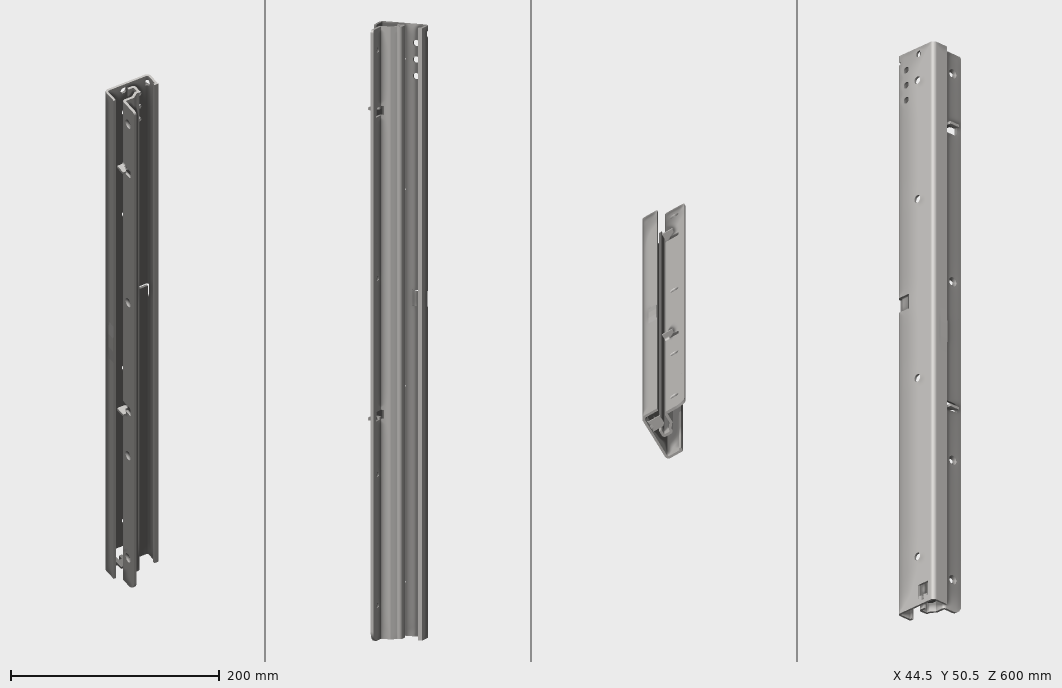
import cadquery as cq

LENGTH = 600.0
SHEET = 2.5
RAIL_SHEET = 2.7

CHANNEL_HEIGHT = 50.0
CHANNEL_FLANGE = 18.0
LIP_HEIGHT = 4.0
CHANNEL_BEND = 3.0

BULGE_DEPTH = 0.5
BULGE_X = 9.0
BULGE_BOTTOM = 270.5
BULGE_HEIGHT = 45.5
BULGE_FLAT = 16.0

WEB_HOLE_DIAMETER = 6.5
WEB_ROW_DIAMETER = 8.0
WEB_ROW_Y = 22.0
WEB_ROW_HEIGHTS = [53.0, 245.0, 437.5, 565.0]
TOP_HOLE_Y = 20.5
TOP_HOLE_Z = 593.0
GROUP_Y = 37.0
GROUP_Z = 565.0
GROUP_PITCH = 16.0
CORNER_HOLE_X = 3.0
CORNER_HOLE_Z = 591.5

TONGUE_WINDOW_Y = 33.5
TONGUE_WINDOW_BOTTOM = 324.0
TONGUE_WINDOW_HEIGHT = 15.5
TONGUE_GAP = 0.5
TONGUE_JOGGLE = 4.0
TONGUE_STEP = 3.0
TONGUE_TIP_GAP = 4.0
CORNER_NOTCH_X = 5.0

SHELF_WINDOW_Y = 8.0
SHELF_WINDOW_WIDTH = 13.0
SHELF_WINDOW_TOP = 21.5
SHELF_TOP = 9.0
SHELF_Y = 9.5
SHELF_WIDTH = 11.0
SHELF_REACH = 15.5
SHELF_CHAMFER = 2.5
GUSSET_WIDTH = 3.0
GUSSET_SIZE = 5.5

RAIL_EDGE_X = 44.5
RAIL_FLANGE_Y = 8.5
RAIL_LEG_X = 23.0
RAIL_ARCH_Y = 27.5
RAIL_ARCH_LEFT = 9.5
RAIL_ARCH_RIGHT = 18.5
RAIL_STEP_TOP = 24.0
RAIL_STEP_BOTTOM = 18.5
RAIL_TIP_Y = 21.0
RAIL_BEND = 2.0
RAIL_TOP_CORNER = 3.0
RAIL_BOTTOM_CORNER = 10.0

SCREW_X = 33.0
SCREW_HEIGHTS = [34.0, 162.5, 354.5, 578.5]
SCREW_DIAMETER = 5.0
SCREW_HEAD_DIAMETER = 9.5
SCREW_HEAD_ANGLE = 90

TAB_WINDOW_X = 21.0
TAB_WINDOW_BACK = 12.5
TAB_WINDOW_RIGHT = 38.0
TAB_WINDOW_HEIGHT = 9.0
TAB_WINDOW_CORNER = 2.5
LOWER_WINDOW_Z = 215.5
UPPER_WINDOW_Z = 522.0
TAB_X = 23.5
TAB_ROOT_WIDTH = 5.0
TAB_TIP_WIDTH = 11.5
TAB_TIP_Y = 0.5
TAB_FLARE_Y = 3.5
TAB_FILLET = 2.5


def box(x, y, z, x_size, y_size, z_size):
    """Box from its lowest corner."""
    return cq.Workplane().box(x_size, y_size, z_size, centered=False).translate((x, y, z))


def folded_sheet(points, thickness, radius):
    """Sheet of the full length whose middle line follows the points, with rounded bends."""
    line = cq.Wire.makePolygon([cq.Vector(x, y, 0) for x, y in points])
    bends = [v for v in line.Vertices() if (v.X, v.Y) not in (points[0], points[-1])]
    path = line.fillet(radius, bends)
    start_plane = cq.Plane(origin=path.startPoint(), xDir=(0, 0, 1), normal=path.tangentAt(0))
    section = cq.Workplane(start_plane).center(LENGTH / 2, 0).rect(LENGTH, thickness)
    return section.sweep(cq.Workplane(path))



def channel_section():
    low = SHEET / 2
    high = CHANNEL_HEIGHT - SHEET / 2
    path = [(CHANNEL_FLANGE, low), (low, low), (low, high), (CHANNEL_FLANGE, high)]
    return folded_sheet(path, SHEET, CHANNEL_BEND)


def flange_lip():
    """Short lip turned toward -Y at the end of the +Y flange."""
    return box(CHANNEL_FLANGE - SHEET, CHANNEL_HEIGHT - LIP_HEIGHT, 0, SHEET, LIP_HEIGHT, LENGTH)


def flange_bulge():
    """Low bulge with a flat middle and sloped ends."""
    slope = (BULGE_HEIGHT - BULGE_FLAT) / 2
    top = BULGE_BOTTOM + BULGE_HEIGHT
    return (
        cq.Workplane("YZ", origin=(BULGE_X, 0, 0))
        .moveTo(0, BULGE_BOTTOM)
        .lineTo(-BULGE_DEPTH, BULGE_BOTTOM + slope)
        .lineTo(-BULGE_DEPTH, top - slope)
        .lineTo(0, top)
        .close()
        .extrude(CHANNEL_FLANGE - BULGE_X)
    )


def web_holes():
    group = [(GROUP_Y, GROUP_Z + i * GROUP_PITCH) for i in (-1, 0, 1)]
    row = [(WEB_ROW_Y, z) for z in WEB_ROW_HEIGHTS]
    small = group + [(TOP_HOLE_Y, TOP_HOLE_Z)]
    small_holes = cq.Workplane("YZ").pushPoints(small).circle(WEB_HOLE_DIAMETER / 2).extrude(SHEET)
    row_holes = cq.Workplane("YZ").pushPoints(row).circle(WEB_ROW_DIAMETER / 2).extrude(SHEET)
    return small_holes.union(row_holes)


def corner_hole():
    """Hole along Y through the bend at the +Y flange."""
    return (
        cq.Workplane("XZ", origin=(0, CHANNEL_HEIGHT, 0))
        .center(CORNER_HOLE_X, CORNER_HOLE_Z)
        .circle(WEB_HOLE_DIAMETER / 2)
        .extrude(2 * SHEET)
    )


def tongue_window():
    width = CHANNEL_HEIGHT - TONGUE_WINDOW_Y
    return box(0, TONGUE_WINDOW_Y, TONGUE_WINDOW_BOTTOM, CORNER_NOTCH_X, width, TONGUE_WINDOW_HEIGHT)


def tongue():
    """Strip of the web stepped inward."""
    step_end = TONGUE_WINDOW_Y + TONGUE_JOGGLE
    tip = CHANNEL_HEIGHT - TONGUE_TIP_GAP
    outline = [
        (0, TONGUE_WINDOW_Y),
        (TONGUE_STEP, step_end),
        (TONGUE_STEP, tip),
        (TONGUE_STEP + SHEET, tip),
        (TONGUE_STEP + SHEET, step_end),
        (SHEET, TONGUE_WINDOW_Y),
    ]
    height = TONGUE_WINDOW_HEIGHT - 2 * TONGUE_GAP
    bottom = TONGUE_WINDOW_BOTTOM + TONGUE_GAP
    return cq.Workplane(origin=(0, 0, bottom)).polyline(outline).close().extrude(height)


def shelf_window():
    bottom = SHELF_TOP - SHEET
    return box(0, SHELF_WINDOW_Y, bottom, SHEET, SHELF_WINDOW_WIDTH, SHELF_WINDOW_TOP - bottom)


def gusset_wedge(corner_x, corner_z, size):
    """Triangular wedge below and to the +X side of a corner, centred on the shelf's width."""
    middle = SHELF_Y + SHELF_WIDTH / 2
    return (
        cq.Workplane("XZ", origin=(0, middle, 0))
        .moveTo(corner_x, corner_z)
        .lineTo(corner_x + size, corner_z)
        .lineTo(corner_x, corner_z - size)
        .close()
        .extrude(GUSSET_WIDTH / 2, both=True)
    )


def shelf():
    """Folded shelf with a gusset pressed into the fold from outside."""
    bottom = SHELF_TOP - SHEET
    plate = box(0, SHELF_Y, bottom, SHELF_REACH, SHELF_WIDTH, SHEET)
    plate = plate.edges("|Z and >X and >Y").chamfer(SHELF_CHAMFER)
    return plate.union(gusset_wedge(SHEET, bottom, GUSSET_SIZE - SHEET))


def make_channel():
    body = channel_section().union(flange_lip()).union(flange_bulge())
    body = body.cut(web_holes()).cut(corner_hole())
    body = body.cut(tongue_window()).union(tongue())
    body = body.cut(shelf_window()).union(shelf())
    return body.cut(gusset_wedge(0, SHELF_TOP, GUSSET_SIZE))



def rail_section():
    path = [
        (RAIL_ARCH_LEFT, RAIL_TIP_Y),
        (RAIL_ARCH_LEFT, RAIL_ARCH_Y),
        (RAIL_ARCH_RIGHT, RAIL_ARCH_Y),
        (RAIL_ARCH_RIGHT, RAIL_STEP_TOP),
        (RAIL_LEG_X, RAIL_STEP_BOTTOM),
        (RAIL_LEG_X, RAIL_FLANGE_Y),
        (RAIL_EDGE_X, RAIL_FLANGE_Y),
    ]
    body = folded_sheet(path, RAIL_SHEET, RAIL_BEND)
    body = body.edges("|Y and >X and >Z").fillet(RAIL_TOP_CORNER)
    return body.edges("|Y and >X and <Z").fillet(RAIL_BOTTOM_CORNER)


def drill_screw_holes(body):
    """Countersunk holes sunk from the -Y face of the flange."""
    front = RAIL_FLANGE_Y - RAIL_SHEET / 2
    places = [(SCREW_X, z) for z in SCREW_HEIGHTS]
    plane = cq.Workplane("XZ", origin=(0, front, 0)).add(body)
    holes = plane.pushPoints(places)
    return holes.cskHole(SCREW_DIAMETER, SCREW_HEAD_DIAMETER, SCREW_HEAD_ANGLE, RAIL_SHEET)


def tab_window():
    """Opening in the flange and its bend, with its lower edge at Z = 0 and one rounded upper corner."""
    front = RAIL_FLANGE_Y - RAIL_SHEET / 2
    width = TAB_WINDOW_RIGHT - TAB_WINDOW_X
    opening = box(TAB_WINDOW_X, front, 0, width, TAB_WINDOW_BACK - front, TAB_WINDOW_HEIGHT)
    return opening.edges("|Y and >X and >Z").fillet(TAB_WINDOW_CORNER)


def tab():
    """Flared tab along the lower edge of the window, filleted to the flange below it."""
    front = RAIL_FLANGE_Y - RAIL_SHEET / 2
    back = front + RAIL_SHEET
    root_x = TAB_X + TAB_ROOT_WIDTH
    tip_x = TAB_X + TAB_TIP_WIDTH
    plate = (
        cq.Workplane()
        .polyline([
            (TAB_X, back),
            (TAB_X, TAB_TIP_Y),
            (tip_x, TAB_TIP_Y),
            (tip_x, TAB_FLARE_Y),
            (root_x, front),
            (root_x, back),
        ])
        .close()
        .extrude(RAIL_SHEET)
    )
    root_fillet = (
        cq.Workplane("YZ", origin=(TAB_X, 0, 0))
        .moveTo(front, 0)
        .lineTo(front, -TAB_FILLET)
        .radiusArc((front - TAB_FILLET, 0), -TAB_FILLET)
        .close()
        .extrude(TAB_ROOT_WIDTH)
    )
    return plate.union(root_fillet)


def make_rail():
    body = drill_screw_holes(rail_section())
    lower_window = tab_window().translate((0, 0, LOWER_WINDOW_Z))
    lower_tab = tab().translate((0, 0, LOWER_WINDOW_Z))
    upper_window = tab_window().mirror("XY").translate((0, 0, UPPER_WINDOW_Z))
    upper_tab = tab().mirror("XY").translate((0, 0, UPPER_WINDOW_Z))
    return body.cut(lower_window).cut(upper_window).union(lower_tab).union(upper_tab)


channel = make_channel()
rail = make_rail()
result = cq.Compound.makeCompound([channel.val(), rail.val()])